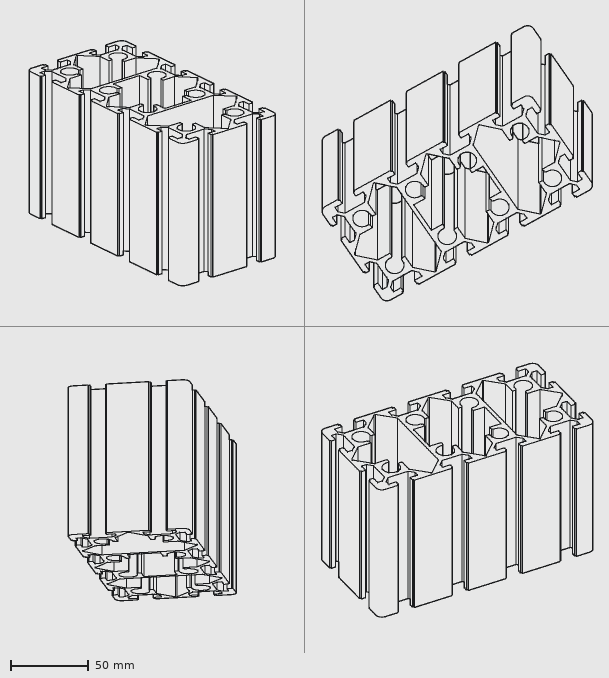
import cadquery as cq

LENGTH = 160.0
WIDTH = 80.0
HEIGHT = 100.0
CORNER_RADIUS = 4.5

COLUMNS = 4
ROWS = 2
CELL = LENGTH / COLUMNS

SLOT_OPENING = 10.2
SLOT_INNER_WIDTH = 21.5
SLOT_DEPTH = 10.9
SLOT_TAPER = 3.4
LIP_THICKNESS = 4.0
REBATE = 1.0

BORE_DIAMETER = 12.0
BOSS_HALF = 9.1
PRONG_REACH = 2.0
PRONG_CHAMFER = 0.8

SKIN = 2.2
WEB_THICKNESS = 2.7
VEE_TIP_HALF = 0.5
VEE_RISE = 10.4

BORE_RADIUS = BORE_DIAMETER / 2
HALF_LENGTH = LENGTH / 2
HALF_WIDTH = WIDTH / 2
BOSS_TO_CELL_EDGE = CELL / 2 - BOSS_HALF
OUTER_WEB_FACE = CELL - BOSS_TO_CELL_EDGE
INNER_WEB_FACE = OUTER_WEB_FACE - WEB_THICKNESS
SIDE_VEE_TIP = HALF_WIDTH - SKIN
SIDE_VEE_BASE = SIDE_VEE_TIP - VEE_RISE
END_VEE_TIP = HALF_LENGTH - SKIN
END_VEE_BASE = END_VEE_TIP - VEE_RISE


def prism(points):
    """Full-height prism with the given XY outline."""
    return cq.Workplane("XY").polyline(points).close().extrude(HEIGHT)


def body():
    block = cq.Workplane("XY").rect(LENGTH, WIDTH).extrude(HEIGHT)
    return block.edges("|Z").fillet(CORNER_RADIUS)


def slot():
    """T-slot cutter, open towards +Y with its mouth at y = 0."""
    half_opening = SLOT_OPENING / 2
    half_rebate = half_opening + REBATE
    half_inner = SLOT_INNER_WIDTH / 2
    right = [
        (half_rebate, 0),
        (half_rebate, -REBATE),
        (half_opening, -REBATE),
        (half_opening, -LIP_THICKNESS),
        (half_inner, -LIP_THICKNESS),
        (half_inner, SLOT_TAPER - SLOT_DEPTH),
        (half_inner - SLOT_TAPER, -SLOT_DEPTH),
    ]
    left = [(-x, y) for x, y in reversed(right)]
    return prism(right + left)


def side_vee(x):
    """Outline, left to right, of a vee pointing at the +Y face and centred on x."""
    return [
        (x - BOSS_TO_CELL_EDGE, SIDE_VEE_BASE),
        (x - VEE_TIP_HALF, SIDE_VEE_TIP),
        (x + VEE_TIP_HALF, SIDE_VEE_TIP),
        (x + BOSS_TO_CELL_EDGE, SIDE_VEE_BASE),
    ]


def mirrored_prism(upper):
    """Prism whose outline is the given upper half and its mirror image below the X axis."""
    lower = [(x, -y) for x, y in reversed(upper)]
    return prism(upper + lower)


def middle_chamber():
    """Chamber between the two webs, with a vee towards each side face."""
    upper = [
        (-INNER_WEB_FACE, BOSS_TO_CELL_EDGE),
        (-BOSS_TO_CELL_EDGE, BOSS_TO_CELL_EDGE),
        *side_vee(0),
        (BOSS_TO_CELL_EDGE, BOSS_TO_CELL_EDGE),
        (INNER_WEB_FACE, BOSS_TO_CELL_EDGE),
    ]
    return mirrored_prism(upper)


def end_chamber():
    """Chamber between the right web and the +X face, with vees towards three faces."""
    upper = [
        *side_vee(CELL),
        (CELL + BOSS_TO_CELL_EDGE, BOSS_TO_CELL_EDGE),
        (END_VEE_BASE, BOSS_TO_CELL_EDGE),
        (END_VEE_TIP, VEE_TIP_HALF),
    ]
    return mirrored_prism(upper)


def bore(x, y):
    """Screw bore at (x, y), opening into the chamber at the boss corner nearest the origin."""
    open_x = -1 if x > 0 else 1
    open_y = -1 if y > 0 else 1
    prong_edge = [
        (BORE_RADIUS, 0),
        (BORE_RADIUS, PRONG_REACH - PRONG_CHAMFER),
        (BORE_RADIUS + PRONG_CHAMFER, PRONG_REACH),
        (BOSS_HALF, PRONG_REACH),
    ]
    other_prong_edge = [(v, u) for u, v in reversed(prong_edge)]
    outline = [(0, 0), *prong_edge, (BOSS_HALF, BOSS_HALF), *other_prong_edge]
    mouth = prism([(x + open_x * u, y + open_y * v) for u, v in outline])
    round_bore = cq.Workplane("XY").center(x, y).circle(BORE_RADIUS).extrude(HEIGHT)
    return round_bore.union(mouth)


def turned(shape, angle):
    """Shape rotated about the profile's Z axis."""
    return shape.rotate((0, 0, 0), (0, 0, 1), angle)


column_centres = [(i + 0.5) * CELL - HALF_LENGTH for i in range(COLUMNS)]
row_centres = [(j + 0.5) * CELL - HALF_WIDTH for j in range(ROWS)]

result = body()

result = result.cut(middle_chamber())
for angle in (0, 180):
    result = result.cut(turned(end_chamber(), angle))

for x in column_centres:
    for y in row_centres:
        result = result.cut(bore(x, y))

for angle in (0, 180):
    for x in column_centres:
        result = result.cut(turned(slot().translate((x, HALF_WIDTH, 0)), angle))
    for y in row_centres:
        end_slot = turned(slot(), -90).translate((HALF_LENGTH, y, 0))
        result = result.cut(turned(end_slot, angle))